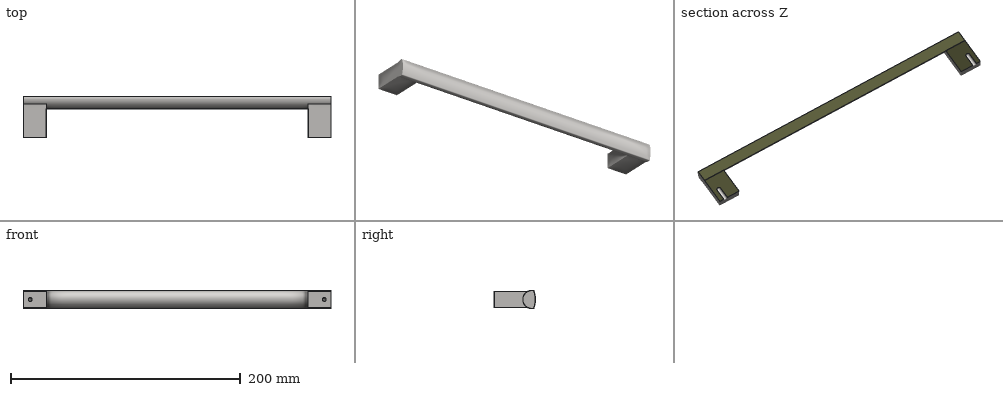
import cadquery as cq
import math

length = 268.0
projection = 36.0

bar_radius = 8.0
bar_depth = 11.0
crown_rise = 1.5
back_corner_radius = 1.0

post_width = 20.0
post_height = 14.0

hole_spacing = 256.0
hole_diameter = 3.3
hole_depth = 12.0
drill_tip_angle = 118.0

bar_axis_y = projection - bar_depth + bar_radius
bar_nose_y = bar_axis_y - bar_radius
bar_corner_y = projection - crown_rise


def make_bar():
    """Full-length bar: half-round front, short tangent flats, crowned back, rounded back corners."""
    return (
        cq.Workplane("YZ", origin=(-length / 2, 0, 0))
        .moveTo(bar_corner_y, bar_radius)
        .lineTo(bar_axis_y, bar_radius)
        .threePointArc((bar_nose_y, 0), (bar_axis_y, -bar_radius))
        .lineTo(bar_corner_y, -bar_radius)
        .threePointArc((projection, 0), (bar_corner_y, bar_radius))
        .close()
        .extrude(length)
        .edges("|X")
        .edges(">Y")
        .fillet(back_corner_radius)
    )


def make_screw_hole(hole_x):
    """Drill shape for one blind hole: a cylinder with a conical tip, revolved about Y."""
    hole_radius = hole_diameter / 2
    tip_length = hole_radius / math.tan(math.radians(drill_tip_angle / 2))
    return (
        cq.Workplane("XY", origin=(hole_x, 0, 0))
        .lineTo(hole_radius, 0)
        .lineTo(hole_radius, hole_depth)
        .lineTo(0, hole_depth + tip_length)
        .close()
        .revolve(360, (0, 0, 0), (0, 1, 0))
    )


def make_post(side, bar):
    """Rectangular post flush with one bar end (side is -1 or 1), hollowed to seat the bar."""
    post_x = side * (length - post_width) / 2
    block = (
        cq.Workplane("XY")
        .box(post_width, bar_axis_y, post_height, centered=(True, False, True))
        .translate((post_x, 0, 0))
    )
    return block.cut(bar).cut(make_screw_hole(side * hole_spacing / 2))


bar = make_bar()
posts = [make_post(side, bar) for side in (-1, 1)]

result = cq.Compound.makeCompound([bar.val(), *[post.solids().val() for post in posts]])